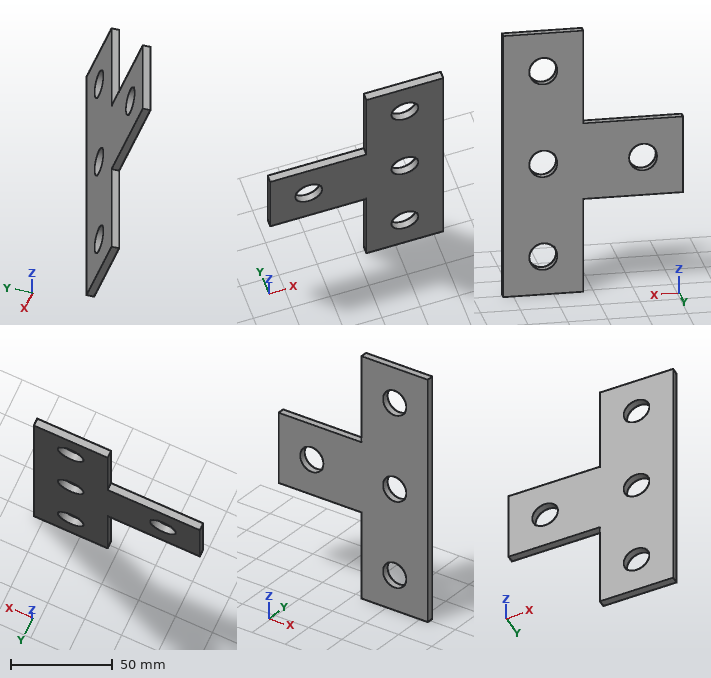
import cadquery as cq

bar_height = 138.0
overall_width = 90.0
arm_width = 40.0
thickness = 4.0
hole_diameter = 14.0
hole_spacing = 49.0

bar_right = arm_width / 2
tab_left = bar_right - overall_width
tab_hole_x = tab_left + arm_width / 2
hole_centres = [
    (0, -hole_spacing),
    (0, 0),
    (0, hole_spacing),
    (tab_hole_x, 0),
]


def plate(width, height, centre_x):
    """Flat rectangular plate standing in the XZ plane, centred in Y and Z."""
    return cq.Workplane("XY").box(width, thickness, height).translate((centre_x, 0, 0))


bar = plate(arm_width, bar_height, 0)
tab = plate(overall_width, arm_width, (tab_left + bar_right) / 2)
body = bar.union(tab).clean()

holes = (
    cq.Workplane("XZ", origin=(0, thickness / 2, 0))
    .pushPoints(hole_centres)
    .circle(hole_diameter / 2)
    .extrude(thickness)
)

result = body.cut(holes)